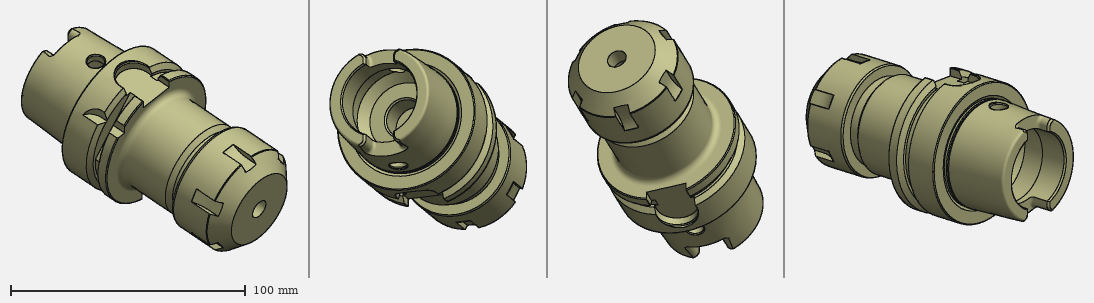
import cadquery as cq
import math


shank_length = 32.0
taper_end_x = -2.1
gauge_x = -6.3
gauge_diameter = 48.0
taper_per_length = 0.1
shank_tip_radius = 1.2
relief_diameter = 48.04
relief_groove_start_x = -1.6
relief_groove_width = 1.0
relief_groove_depth = 0.25
face_groove_diameter = 50.7
face_groove_depth = 0.6

flange_width = 26.0
flange_diameter = 63.0
flange_chamfer = 0.45
groove_left_x = 15.9
groove_right_x = 19.6
groove_bottom_diameter = 55.0
groove_wall_depth = 2.7
groove_wall_angle = 30.0

body_diameter = 44.45
body_fillet = 3.0
body_end_x = 51.6
neck_diameter = 40.0

nut_start_x = 58.0
nut_end_x = 85.6
nut_diameter = 50.0
nut_rear_chamfer_length = 1.0
nut_rear_chamfer_depth = 0.4
nut_shoulder_x = 77.9
nut_shoulder_bevel_length = 0.4
nut_shoulder_bevel_depth = 0.2
nut_face_diameter = 35.0
nut_pocket_end_x = 78.0
nut_slot_count = 6
nut_slot_width = 6.4
nut_slot_start_x = 67.6
nut_slot_flat_x = 75.7
nut_slot_start_radius = 24.7
nut_slot_floor_radius = 22.0

through_diameter = 8.4
mouth_chamfer_depth = 0.5
mouth_chamfer_length = 0.9
clamp_lip_diameter = 34.0
clamp_lip_x = -18.8
clamp_shoulder_angle = 30.0
chamber_diameter = 40.0
chamber_end_x = -6.0
chamber_floor_diameter = 31.6
coolant_seat_diameter = 16.92
coolant_seat_depth = 12.0
coolant_seat_chamfer = 0.75

drive_slot_half_width = 6.27
drive_slot_flare_radius = 3.0
drive_slot_flare_start_z = 17.9
drive_slot_floor_fillet = 1.5
drive_slot_chamfer = 0.9
upper_drive_slot_depth = 6.0
lower_drive_slot_depth = 10.0

radial_hole_x = -9.1
radial_hole_diameter = 7.5
radial_hole_rim_diameter = 8.4

keyway_centre_x = 12.9
keyway_floor_z = 26.5
keyway_rim = 0.46
keyway_rim_z = 30.0
upper_keyway_width = 16.0
lower_keyway_width = 18.0
index_notch_floor_z = 20.0
index_notch_wall_y = -20.0
index_notch_radius = 8.0
groove_flat_angle = 42.0
groove_flat_distance = 21.8

tip_x = -shank_length
flange_radius = flange_diameter / 2
through_radius = through_diameter / 2
reach = flange_diameter


def taper_radius(x):
    """Outer radius of the shank taper at position x."""
    return (gauge_diameter + (x - gauge_x) * taper_per_length) / 2


def revolve(profile):
    """Turn a profile, drawn as (x, radius), about the X axis."""
    return profile.close().revolve(360, (0, 0, 0), (1, 0, 0))


def holder_blank():
    relief_radius = relief_diameter / 2
    face_groove_radius = face_groove_diameter / 2
    groove_radius = groove_bottom_diameter / 2
    wall_foot_radius = flange_radius - groove_wall_depth
    wall_run = groove_wall_depth * math.tan(math.radians(groove_wall_angle))
    body_radius = body_diameter / 2
    neck_radius = neck_diameter / 2
    neck_start_x = body_end_x + body_radius - neck_radius
    tip_top_radius = taper_radius(tip_x + shank_tip_radius)
    arc_45 = math.sqrt(0.5)
    profile = (
        cq.Workplane("XY")
        .moveTo(tip_x, 0)
        .lineTo(tip_x, tip_top_radius - shank_tip_radius)
        .threePointArc(
            (tip_x + shank_tip_radius * (1 - arc_45), tip_top_radius - shank_tip_radius * (1 - arc_45)),
            (tip_x + shank_tip_radius, tip_top_radius),
        )
        .lineTo(taper_end_x, taper_radius(taper_end_x))
        .lineTo(relief_groove_start_x, relief_radius)
        .lineTo(relief_groove_start_x + relief_groove_width / 2, relief_radius - relief_groove_depth)
        .lineTo(relief_groove_start_x + relief_groove_width, relief_radius)
        .lineTo(face_groove_depth, relief_radius)
        .lineTo(0, face_groove_radius)
        .lineTo(0, flange_radius - flange_chamfer)
        .lineTo(flange_chamfer, flange_radius)
        .lineTo(groove_left_x - wall_run, flange_radius)
        .lineTo(groove_left_x, wall_foot_radius)
        .lineTo(groove_left_x, groove_radius)
        .lineTo(groove_right_x, groove_radius)
        .lineTo(groove_right_x, wall_foot_radius)
        .lineTo(groove_right_x + wall_run, flange_radius)
        .lineTo(flange_width - flange_chamfer, flange_radius)
        .lineTo(flange_width, flange_radius - flange_chamfer)
        .lineTo(flange_width, body_radius + body_fillet)
        .threePointArc(
            (flange_width + body_fillet * (1 - arc_45), body_radius + body_fillet * (1 - arc_45)),
            (flange_width + body_fillet, body_radius),
        )
        .lineTo(body_end_x, body_radius)
        .lineTo(neck_start_x, neck_radius)
        .lineTo(nut_pocket_end_x, neck_radius)
        .lineTo(nut_pocket_end_x, 0)
    )
    return revolve(profile)


def holder_bore():
    lip_radius = clamp_lip_diameter / 2
    chamber_radius = chamber_diameter / 2
    floor_radius = chamber_floor_diameter / 2
    seat_radius = coolant_seat_diameter / 2
    shoulder_run = (chamber_radius - lip_radius) * math.tan(math.radians(clamp_shoulder_angle))
    floor_x = chamber_end_x + chamber_radius - floor_radius
    seat_floor_x = floor_x + coolant_seat_depth
    profile = (
        cq.Workplane("XY")
        .moveTo(tip_x, 0)
        .lineTo(tip_x, lip_radius + mouth_chamfer_depth)
        .lineTo(tip_x + mouth_chamfer_length, lip_radius)
        .lineTo(clamp_lip_x, lip_radius)
        .lineTo(clamp_lip_x + shoulder_run, chamber_radius)
        .lineTo(chamber_end_x, chamber_radius)
        .lineTo(floor_x, floor_radius)
        .lineTo(floor_x, seat_radius + coolant_seat_chamfer)
        .lineTo(floor_x + coolant_seat_chamfer, seat_radius)
        .lineTo(seat_floor_x, seat_radius)
        .lineTo(seat_floor_x, through_radius)
        .lineTo(nut_pocket_end_x, through_radius)
        .lineTo(nut_pocket_end_x, 0)
    )
    return revolve(profile)


def drive_slot_outline(grow):
    """Slot section in the YZ plane, widened on every side by grow."""
    half_width = drive_slot_half_width + grow
    flare = drive_slot_flare_radius - grow
    flare_top_z = drive_slot_flare_start_z + flare
    flare_end_y = half_width + flare
    mid_y = half_width + flare * (1 - math.sqrt(0.5))
    mid_z = drive_slot_flare_start_z + flare * math.sqrt(0.5)
    return (
        cq.Workplane("YZ", origin=(tip_x, 0, 0))
        .moveTo(-half_width, 0)
        .lineTo(half_width, 0)
        .lineTo(half_width, drive_slot_flare_start_z)
        .threePointArc((mid_y, mid_z), (flare_end_y, flare_top_z))
        .lineTo(reach, flare_top_z)
        .lineTo(reach, reach)
        .lineTo(-reach, reach)
        .lineTo(-reach, flare_top_z)
        .lineTo(-flare_end_y, flare_top_z)
        .threePointArc((-mid_y, mid_z), (-half_width, drive_slot_flare_start_z))
        .close()
    )


def drive_slot(depth):
    """Cutter for the slot on the +Z side of the shank end."""
    slot = drive_slot_outline(0).extrude(depth)
    slot = slot.faces(">X").edges().fillet(drive_slot_floor_fillet)
    mouth = drive_slot_outline(drive_slot_chamfer).extrude(drive_slot_chamfer, taper=45)
    return slot.union(mouth)


def radial_hole():
    """Cutter for the rimmed cross hole on the +Z side of the shank."""
    hole_radius = radial_hole_diameter / 2
    rim_radius = radial_hole_rim_diameter / 2
    rim_z = math.sqrt(taper_radius(radial_hole_x) ** 2 - rim_radius ** 2)
    return (
        cq.Workplane("XZ")
        .lineTo(hole_radius, 0)
        .lineTo(hole_radius, rim_z - (rim_radius - hole_radius))
        .lineTo(rim_radius, rim_z)
        .lineTo(rim_radius, reach)
        .lineTo(0, reach)
        .close()
        .revolve(360, (0, 0, 0), (0, 1, 0))
        .translate((radial_hole_x, 0, 0))
    )


def keyway_outline(width, z):
    """Round-ended keyway open toward +X, as a closed outline at height z."""
    radius = width / 2
    return (
        cq.Workplane("XY", origin=(0, 0, z))
        .moveTo(keyway_centre_x, -radius)
        .threePointArc((keyway_centre_x - radius, 0), (keyway_centre_x, radius))
        .lineTo(flange_width, radius)
        .lineTo(flange_width, -radius)
        .close()
    )


def keyway(width):
    """Cutter for a keyway on the +Z side of the flange, with a bevelled rim."""
    rim_width = width + 2 * keyway_rim
    slot = keyway_outline(width, keyway_floor_z).extrude(reach)
    bevel = keyway_outline(width, keyway_rim_z).extrude(keyway_rim, taper=-45)
    rim = keyway_outline(rim_width, keyway_rim_z + keyway_rim).extrude(reach)
    within_flange = cq.Workplane("XY").box(flange_width, 2 * reach, 4 * reach, centered=(False, True, True))
    return slot.union(bevel).union(rim).intersect(within_flange)


def index_notch():
    """Corner notch on the -Y side, with one rounded end."""
    radius = index_notch_radius
    return (
        cq.Workplane("XY", origin=(0, 0, index_notch_floor_z))
        .moveTo(flange_width, index_notch_wall_y)
        .lineTo(keyway_centre_x, index_notch_wall_y)
        .threePointArc(
            (keyway_centre_x - radius, index_notch_wall_y - radius),
            (keyway_centre_x, index_notch_wall_y - 2 * radius),
        )
        .lineTo(flange_width, index_notch_wall_y - 2 * radius)
        .close()
        .extrude(flange_radius - index_notch_floor_z)
    )


def groove_flat():
    """Block that mills an inclined flat across the bottom of the groove."""
    block = cq.Workplane("XY").box(
        groove_right_x - groove_left_x, flange_diameter, flange_radius, centered=(False, True, False)
    )
    block = block.translate((groove_left_x, 0, groove_flat_distance))
    return block.rotate((0, 0, 0), (1, 0, 0), 90 - groove_flat_angle)


def half_turn(cutter):
    """Move a cutter from the +Z side to the -Z side."""
    return cutter.rotate((0, 0, 0), (1, 0, 0), 180)


def make_holder():
    cutters = [
        holder_bore(),
        drive_slot(upper_drive_slot_depth),
        half_turn(drive_slot(lower_drive_slot_depth)),
        radial_hole(),
        half_turn(radial_hole()),
        keyway(upper_keyway_width),
        half_turn(keyway(lower_keyway_width)),
        index_notch(),
        groove_flat(),
    ]
    holder = holder_blank()
    for cutter in cutters:
        holder = holder.cut(cutter)
    return holder


def nut_blank():
    nut_radius = nut_diameter / 2
    pocket_radius = neck_diameter / 2
    profile = (
        cq.Workplane("XY")
        .moveTo(nut_start_x, pocket_radius)
        .lineTo(nut_start_x, nut_radius - nut_rear_chamfer_depth)
        .lineTo(nut_start_x + nut_rear_chamfer_length, nut_radius)
        .lineTo(nut_shoulder_x, nut_radius)
        .lineTo(nut_shoulder_x + nut_shoulder_bevel_length, nut_radius - nut_shoulder_bevel_depth)
        .lineTo(nut_end_x, nut_face_diameter / 2)
        .lineTo(nut_end_x, through_radius)
        .lineTo(nut_pocket_end_x, through_radius)
        .lineTo(nut_pocket_end_x, pocket_radius)
    )
    return revolve(profile)


def nut_slot():
    """Cutter for one wrench slot, on the +Z side, running out toward +X."""
    drop = nut_slot_start_radius - nut_slot_floor_radius
    run = nut_slot_flat_x - nut_slot_start_x
    sweep_radius = (run ** 2 + drop ** 2) / (2 * drop)
    half_angle = math.asin(run / sweep_radius) / 2
    mid_x = nut_slot_flat_x - sweep_radius * math.sin(half_angle)
    mid_z = nut_slot_floor_radius + sweep_radius * (1 - math.cos(half_angle))
    return (
        cq.Workplane("XZ")
        .moveTo(nut_slot_start_x, nut_slot_start_radius)
        .threePointArc((mid_x, mid_z), (nut_slot_flat_x, nut_slot_floor_radius))
        .lineTo(nut_end_x, nut_slot_floor_radius)
        .lineTo(nut_end_x, nut_diameter)
        .lineTo(nut_slot_start_x, nut_diameter)
        .close()
        .extrude(nut_slot_width / 2, both=True)
    )


def make_nut():
    nut = nut_blank()
    for index in range(nut_slot_count):
        nut = nut.cut(nut_slot().rotate((0, 0, 0), (1, 0, 0), index * 360 / nut_slot_count))
    return nut


holder = make_holder()
nut = make_nut()
result = cq.Compound.makeCompound([holder.val(), nut.val()])